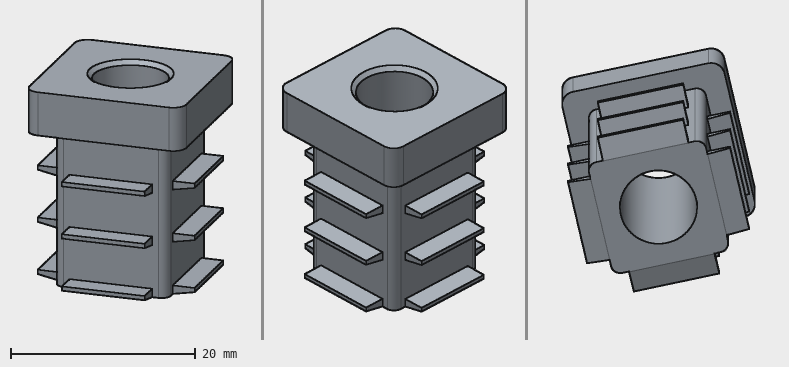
import cadquery as cq

total_height = 23.0
head_width = 18.0
head_height = 5.0
head_corner_radius = 1.5
body_width = 13.0
body_corner_radius = 1.04
bore_diameter = 8.37
bore_chamfer = 0.5
fin_length = 9.5
fin_root_thickness = 1.0
fin_tip_thickness = 0.5
fin_spacing = 6.0
fin_rows = 3

body_height = total_height - head_height


def rounded_square_block(width, height, corner_radius, base_z):
    """Upright square block with rounded vertical edges."""
    return (
        cq.Workplane("XY", origin=(0, 0, base_z))
        .rect(width, width)
        .extrude(height)
        .edges("|Z")
        .fillet(corner_radius)
    )


def fin_pair(base_z):
    """Fins on the +X and -X faces, joined through the body; flat on top, tapered below."""
    root_x = body_width / 2
    tip_x = head_width / 2
    top_z = base_z + fin_root_thickness
    tip_bottom_z = top_z - fin_tip_thickness
    return (
        cq.Workplane("XZ")
        .moveTo(-root_x, base_z)
        .lineTo(root_x, base_z)
        .lineTo(tip_x, tip_bottom_z)
        .lineTo(tip_x, top_z)
        .lineTo(-tip_x, top_z)
        .lineTo(-tip_x, tip_bottom_z)
        .close()
        .extrude(fin_length / 2, both=True)
    )


body = rounded_square_block(body_width, body_height, body_corner_radius, 0)
head = rounded_square_block(head_width, head_height, head_corner_radius, body_height)
result = body.union(head)

for row in range(fin_rows):
    fins = fin_pair(row * fin_spacing)
    crossed_fins = fins.rotate((0, 0, 0), (0, 0, 1), 90)
    result = result.union(fins).union(crossed_fins)

bore_radius = bore_diameter / 2
mouth_radius = bore_radius + bore_chamfer
bore = (
    cq.Workplane("XZ")
    .lineTo(bore_radius, 0)
    .lineTo(bore_radius, total_height - bore_chamfer)
    .lineTo(mouth_radius, total_height)
    .lineTo(0, total_height)
    .close()
    .revolve(360, (0, 0), (0, 1))
)
result = result.cut(bore)